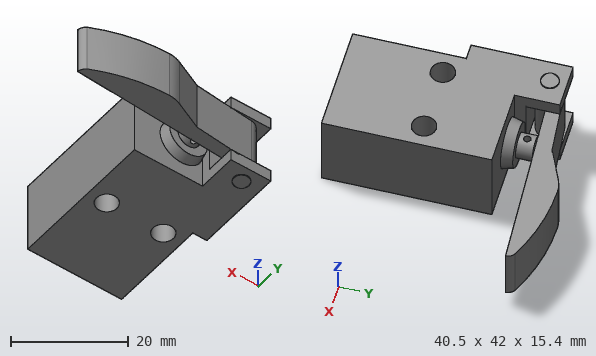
import cadquery as cq
import math


body_width = 20.0
body_length = 30.0
thickness = 15.0
mount_hole_diameter = 4.3
mount_hole_inset = 4.0
mount_hole_depth = 13.0

bracket_overhang = 3.0
bracket_width = 8.5
bracket_rise = 8.0
bracket_drop = 10.0
bracket_right = bracket_width - bracket_overhang
fork_gap = 10.0
fork_depth = 6.0

pin_diameter = 3.2
pin_length = 15.4
pin_x = 1.0
pin_y = 5.0

barrel_radius = 2.5
lever_root_bottom = 5.38
lever_neck = (13.27, 8.75)
lever_slope_end = (19.05, 11.42)
lever_crest = (21.65, 42 - body_length)
lever_nose = (36.62, 8.65)
lever_nose_bulge = (37.25, 8.0)
lever_tip = (40.5 - bracket_overhang, 7.2)

plunger_x = body_width / 2
plunger_diameter = 4.5
plunger_shoulder = 4.95
plunger_top = 5.5
cross_hole_diameter = 1.2
cross_hole_y = 3.5
collar_base_diameter = 9.07
collar_top_diameter = 8.02
collar_height = 2.0


def block(left, right, bottom, top, depth):
    """Box with the given X and Y limits, centred on mid thickness."""
    box = cq.Workplane("XY").box(right - left, top - bottom, depth)
    return box.translate(((left + right) / 2, (bottom + top) / 2, 0))


def cylinder(x, y, diameter, length):
    """Cylinder along Z, centred on mid thickness."""
    return cq.Workplane("XY").center(x, y).circle(diameter / 2).extrude(length / 2, both=True)


def make_body():
    body = block(0, body_width, -body_length, 0, thickness)
    for x in (mount_hole_inset, body_width - mount_hole_inset):
        body = body.cut(cylinder(x, -mount_hole_depth, mount_hole_diameter, thickness))
    return body


def make_bracket():
    """Bracket in two pieces, so that it wraps the body corner without closing its holes."""
    side = block(-bracket_overhang, 0, -bracket_drop, bracket_rise, thickness)
    upper = block(0, bracket_right, 0, bracket_rise, thickness)
    gap = block(-bracket_overhang, bracket_right, bracket_rise - fork_depth, bracket_rise, fork_gap)
    return side.union(upper).cut(gap)


def barrel_tangent_point(target):
    """Upper point of the barrel where a line from target is tangent to it."""
    dx = target[0] - pin_x
    dy = target[1] - pin_y
    angle = math.atan2(dy, dx) + math.acos(barrel_radius / math.hypot(dx, dy))
    return (pin_x + barrel_radius * math.cos(angle), pin_y + barrel_radius * math.sin(angle))


def make_lever():
    """Handle running tangentially off a round barrel around the pin."""
    bottom_slope = (lever_tip[1] - lever_root_bottom) / (lever_tip[0] - bracket_right)
    root_y = lever_root_bottom - bottom_slope * (bracket_right - pin_x)

    back_run = lever_nose[0] - lever_crest[0]
    back_drop = lever_crest[1] - lever_nose[1]
    back_radius = (back_run**2 + back_drop**2) / (2 * back_drop)
    mid_run = back_run / 2
    mid_drop = back_radius - math.sqrt(back_radius**2 - mid_run**2)
    back_mid = (lever_crest[0] + mid_run, lever_crest[1] - mid_drop)

    handle = (
        cq.Workplane("XY")
        .moveTo(pin_x, root_y)
        .lineTo(*barrel_tangent_point(lever_neck))
        .lineTo(*lever_neck)
        .lineTo(*lever_slope_end)
        .tangentArcPoint(lever_crest, relative=False)
        .threePointArc(back_mid, lever_nose)
        .threePointArc(lever_nose_bulge, lever_tip)
        .close()
        .extrude(fork_gap / 2, both=True)
    )
    barrel = cylinder(pin_x, pin_y, 2 * barrel_radius, fork_gap)
    return handle.union(barrel)


def make_plunger():
    """Tapered collar and domed plunger, revolved about the plunger axis."""
    dome_height = plunger_top - plunger_shoulder
    radius = plunger_diameter / 2
    dome_radius = (radius**2 + dome_height**2) / (2 * dome_height)
    dome_centre = plunger_top - dome_radius
    mid_x = radius / 2
    mid_y = dome_centre + math.sqrt(dome_radius**2 - mid_x**2)
    plunger = (
        cq.Workplane("XY")
        .center(plunger_x, 0)
        .lineTo(collar_base_diameter / 2, 0)
        .lineTo(collar_top_diameter / 2, collar_height)
        .lineTo(radius, collar_height)
        .lineTo(radius, plunger_shoulder)
        .threePointArc((mid_x, mid_y), (0, plunger_top))
        .close()
        .revolve(360, (0, 0), (0, 1))
    )
    return plunger.cut(cylinder(plunger_x, cross_hole_y, cross_hole_diameter, thickness))


pin = cylinder(pin_x, pin_y, pin_diameter, pin_length)
result = make_body().union(make_bracket()).union(make_lever()).union(pin).union(make_plunger())